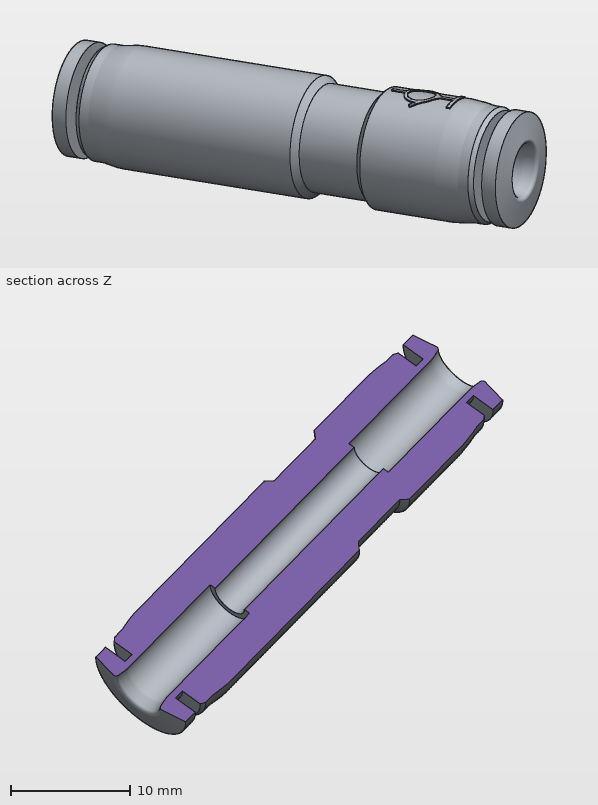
import cadquery as cq
import math

total_length = 42.1
body_diameter = 10.5
half_length = total_length / 2

collar_diameter = 9.9
collar_thickness = 1.7
collar_cone_length = 0.42
stem_diameter = 5.6
stem_gap = 0.85
stem_embed = 0.5

body_end_diameter = 10.0
end_chamfer_length = 0.4
end_chamfer_depth = 0.25
end_land_length = 0.9
bulge_length = 2.0
bulge_middle_rise = 0.06

waist_diameter = 9.3
waist_left_start = 22.7
waist_right_end = 29.2
waist_chamfer_length = 0.57

passage_diameter = 3.2
tube_diameter = 4.3
tube_depth = 12.0
lead_in_diameter = 4.6
lead_in_length = 0.9
mouth_diameter = 5.3

symbol_height = 0.1
symbol_stroke = 0.36
seat_stroke = 0.28
ball_x = 11.4
ball_inner_radius = 1.2
ball_outer_radius = 1.5
inlet_line_start = 8.65
seat_apex_x = 13.4
seat_arm_length = 3.0
seat_half_angle = 45
stop_bar_start = 14.38
stop_bar_length = 3.0


def turned(profile):
    """Revolve a closed half-profile in the XZ plane about the X axis."""
    return profile.close().revolve(360, (0, 0, 0), (1, 0, 0))


def make_body():
    """Turned body with tapered ends and a chamfered waist."""
    radius = body_diameter / 2
    end_radius = body_end_diameter / 2
    face_x = half_length - collar_thickness - stem_gap
    land_x = face_x - end_chamfer_length
    bulge_x = land_x - end_land_length
    full_x = bulge_x - bulge_length
    bulge_middle_x = (bulge_x + full_x) / 2
    bulge_middle_radius = (radius + end_radius) / 2 + bulge_middle_rise
    waist_left = waist_left_start - half_length
    waist_right = waist_right_end - half_length
    profile = (
        cq.Workplane("XZ")
        .moveTo(-face_x, 0)
        .lineTo(-face_x, end_radius - end_chamfer_depth)
        .lineTo(-land_x, end_radius)
        .lineTo(-bulge_x, end_radius)
        .threePointArc((-bulge_middle_x, bulge_middle_radius), (-full_x, radius))
        .lineTo(waist_left, radius)
        .lineTo(waist_left + waist_chamfer_length, waist_diameter / 2)
        .lineTo(waist_right - waist_chamfer_length, waist_diameter / 2)
        .lineTo(waist_right, radius)
        .lineTo(full_x, radius)
        .threePointArc((bulge_middle_x, bulge_middle_radius), (bulge_x, end_radius))
        .lineTo(land_x, end_radius)
        .lineTo(face_x, end_radius - end_chamfer_depth)
        .lineTo(face_x, 0)
    )
    return turned(profile)


def make_collar(side):
    """Stem and collar with a shallow conical face; side is -1 or +1 along X."""
    tip_x = side * half_length
    rim_x = side * (half_length - collar_cone_length)
    back_x = side * (half_length - collar_thickness)
    root_x = side * (half_length - collar_thickness - stem_gap - stem_embed)
    profile = (
        cq.Workplane("XZ")
        .moveTo(tip_x, 0)
        .lineTo(tip_x, mouth_diameter / 2)
        .lineTo(rim_x, collar_diameter / 2)
        .lineTo(back_x, collar_diameter / 2)
        .lineTo(back_x, stem_diameter / 2)
        .lineTo(root_x, stem_diameter / 2)
        .lineTo(root_x, 0)
    )
    return turned(profile)


def make_tube_socket(side):
    """Cutter for the tube bore with a rounded mouth and tapered lead-in at one end."""
    mouth_radius = mouth_diameter / 2
    lead_in_radius = lead_in_diameter / 2
    rounding = mouth_radius - lead_in_radius
    arc_reach = rounding * (1 - math.sqrt(0.5))
    mouth_x = side * half_length
    arc_middle_x = side * (half_length - arc_reach)
    lead_in_x = side * (half_length - rounding)
    throat_x = side * (half_length - rounding - lead_in_length)
    stop_x = side * (half_length - tube_depth)
    profile = (
        cq.Workplane("XZ")
        .moveTo(mouth_x, 0)
        .lineTo(mouth_x, mouth_radius)
        .threePointArc((arc_middle_x, lead_in_radius + arc_reach), (lead_in_x, lead_in_radius))
        .lineTo(throat_x, tube_diameter / 2)
        .lineTo(stop_x, tube_diameter / 2)
        .lineTo(stop_x, 0)
    )
    return turned(profile)


def make_passage():
    """Cutter for the narrow passage through the whole length."""
    return cq.Workplane("YZ").circle(passage_diameter / 2).extrude(half_length, both=True)


def symbol_bar(start_x, end_x, width):
    """Upright prism over a straight bar along X, centred on the X axis."""
    bar = cq.Workplane("XY").rect(end_x - start_x, width).extrude(body_diameter)
    return bar.translate(((start_x + end_x) / 2, 0, 0))


def seat_arm(side):
    """Upright prism over one arm of the valve seat, its outer edge starting at the apex."""
    arm = cq.Workplane("XY").rect(seat_arm_length, seat_stroke).extrude(body_diameter)
    arm = arm.translate((-seat_arm_length / 2, -side * seat_stroke / 2, 0))
    arm = arm.rotate((0, 0, 0), (0, 0, 1), -side * seat_half_angle)
    return arm.translate((seat_apex_x, 0, 0))


def make_symbol():
    """Check-valve symbol: inlet line, ball, V-shaped seat and stop bar, wrapped on the body."""
    ball_plane = cq.Workplane("XY").center(ball_x, 0)
    symbol = ball_plane.circle(ball_outer_radius).extrude(body_diameter)
    symbol = symbol.union(symbol_bar(inlet_line_start, ball_x, symbol_stroke))
    for side in (-1, 1):
        symbol = symbol.union(seat_arm(side))
    symbol = symbol.union(symbol_bar(ball_x, stop_bar_start, symbol_stroke))
    symbol = symbol.union(symbol_bar(stop_bar_start, stop_bar_start + symbol_stroke, stop_bar_length))
    symbol = symbol.cut(ball_plane.circle(ball_inner_radius).extrude(body_diameter))
    envelope = cq.Workplane("YZ").circle(body_diameter / 2 + symbol_height).extrude(half_length)
    return symbol.intersect(envelope)


result = make_body().union(make_symbol())
for end in (-1, 1):
    result = result.union(make_collar(end))
for end in (-1, 1):
    result = result.cut(make_tube_socket(end))
result = result.cut(make_passage())